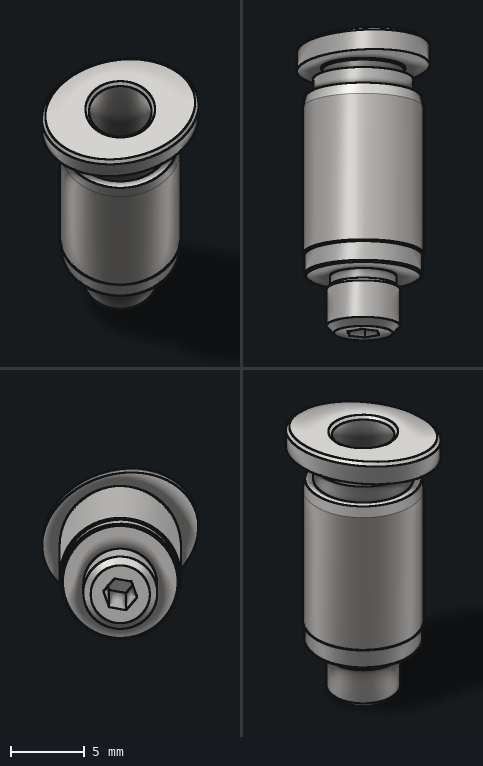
import cadquery as cq
import math

THREAD_DIA = 5.0
NECK_DIA = 4.5
RING_DIA = 8.0
BODY_DIA = 8.2
BODY_TOP_DIA = 7.88
COLLAR_DIA = 6.8
STEM_DIA = 5.5

THREAD_TOP_Z = 3.05
RING_BOTTOM_Z = 3.98
BODY_BOTTOM_Z = 5.5
BODY_TAPER_Z = 15.7
BODY_TOP_Z = 16.48
COLLAR_TOP_Z = 17.7
TOTAL_HEIGHT = 20.1

TIP_CHAMFER = 0.5
RING_CHAMFER = 0.12
STEM_FLARE = 0.1
BUTTON_CHAMFER = 0.25

BUTTON_SIZE_X = 8.6
BUTTON_SIZE_Y = 10.8
BUTTON_THICKNESS = 1.6
BUTTON_BOTTOM_Z = TOTAL_HEIGHT - BUTTON_THICKNESS

BORE_DIA = 4.22
BORE_CHAMFER = 0.25
BORE_FLOOR_Z = BODY_BOTTOM_Z
HEX_ACROSS_FLATS = 2
HEX_ACROSS_CORNERS = HEX_ACROSS_FLATS / math.cos(math.pi / 6)


def revolve_about_z(profile):
    """Turn a closed (radius, height) profile a full turn about the Z axis."""
    return cq.Workplane("XZ").polyline(profile).close().revolve(360, (0, 0), (0, 1))


def make_barrel():
    """Stepped round barrel, from the threaded tip up to the underside of the button."""
    thread_radius = THREAD_DIA / 2
    neck_radius = NECK_DIA / 2
    ring_radius = RING_DIA / 2
    body_radius = BODY_DIA / 2
    collar_radius = COLLAR_DIA / 2
    stem_radius = STEM_DIA / 2
    neck_cone_height = thread_radius - neck_radius
    body_chamfer = body_radius - ring_radius
    return revolve_about_z([
        (0, 0),
        (thread_radius - TIP_CHAMFER, 0),
        (thread_radius, TIP_CHAMFER),
        (thread_radius, THREAD_TOP_Z),
        (neck_radius, THREAD_TOP_Z + neck_cone_height),
        (neck_radius, RING_BOTTOM_Z),
        (ring_radius - RING_CHAMFER, RING_BOTTOM_Z),
        (ring_radius, RING_BOTTOM_Z + RING_CHAMFER),
        (ring_radius, BODY_BOTTOM_Z - body_chamfer),
        (body_radius, BODY_BOTTOM_Z),
        (body_radius, BODY_TAPER_Z),
        (BODY_TOP_DIA / 2, BODY_TOP_Z),
        (collar_radius, BODY_TOP_Z),
        (collar_radius, COLLAR_TOP_Z),
        (stem_radius, COLLAR_TOP_Z),
        (stem_radius, BUTTON_BOTTOM_Z - STEM_FLARE),
        (stem_radius + STEM_FLARE, BUTTON_BOTTOM_Z),
        (0, BUTTON_BOTTOM_Z),
    ])


def make_button():
    """Elliptical plate with a chamfered upper rim."""
    return (
        cq.Workplane("XY")
        .workplane(offset=BUTTON_BOTTOM_Z)
        .ellipse(BUTTON_SIZE_X / 2, BUTTON_SIZE_Y / 2)
        .extrude(BUTTON_THICKNESS)
        .faces(">Z")
        .chamfer(BUTTON_CHAMFER)
    )


def make_tube_bore():
    """Space of the blind bore below the button face, with its chamfered mouth."""
    bore_radius = BORE_DIA / 2
    return revolve_about_z([
        (0, BORE_FLOOR_Z),
        (bore_radius, BORE_FLOOR_Z),
        (bore_radius, TOTAL_HEIGHT - BORE_CHAMFER),
        (bore_radius + BORE_CHAMFER, TOTAL_HEIGHT),
        (0, TOTAL_HEIGHT),
    ])


def make_hex_hole():
    """Space of the key hole from the threaded end up to the bore floor, with corners on X."""
    return cq.Workplane("XY").polygon(6, HEX_ACROSS_CORNERS).extrude(BORE_FLOOR_Z)


outside = make_barrel().union(make_button())
result = outside.cut(make_tube_bore()).cut(make_hex_hole())